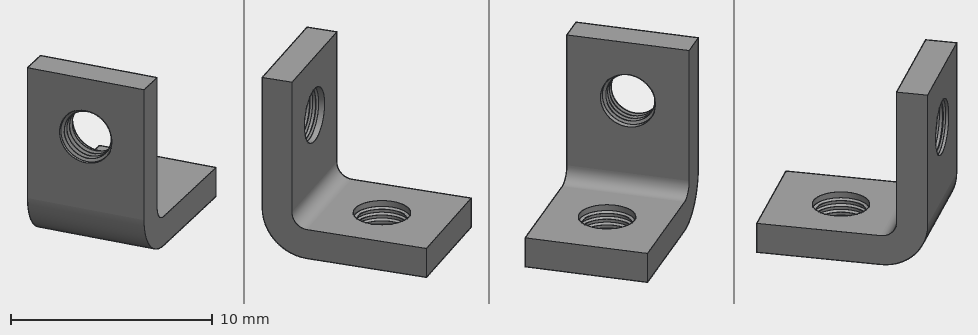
import cadquery as cq

width = 6.35
thickness = 1.5875
inner_bend_radius = thickness / 2
outer_bend_radius = inner_bend_radius + thickness
leg_height = 9.525
foot_length = 8.71

major_radius = 2.85 / 2
minor_radius = 2.54 / 2
ridge_count = 4
pitch = thickness / (ridge_count + 1)
ridge_base = pitch / 2
upright_hole_height = 6.35
foot_hole_distance = 5.16


def bent_plate():
    """L-shaped sheet: the foot runs along +Y, the upright leg along +Z."""
    profile = (
        cq.Workplane("YZ")
        .moveTo(foot_length, 0)
        .lineTo(foot_length, thickness)
        .lineTo(outer_bend_radius, thickness)
        .radiusArc((thickness, outer_bend_radius), inner_bend_radius)
        .lineTo(thickness, leg_height)
        .lineTo(0, leg_height)
        .lineTo(0, outer_bend_radius)
        .radiusArc((outer_bend_radius, 0), -outer_bend_radius)
        .close()
    )
    return profile.extrude(width / 2, both=True)


def thread_cutter():
    """Body of revolution about Z, one plate thick, with V-shaped ridges after a plain first pitch."""
    outline = cq.Workplane("XZ").lineTo(major_radius, 0)
    for ridge in range(ridge_count):
        start = (ridge + 1) * pitch
        outline = outline.lineTo(major_radius, start)
        outline = outline.lineTo(minor_radius, start + ridge_base / 2)
        outline = outline.lineTo(major_radius, start + ridge_base)
    outline = outline.lineTo(major_radius, thickness).lineTo(0, thickness).close()
    return outline.revolve(360, (0, 0, 0), (0, 1, 0))


foot_thread = (
    thread_cutter()
    .rotate((0, 0, 0), (1, 0, 0), 180)
    .translate((0, foot_hole_distance, thickness))
)
upright_thread = (
    thread_cutter()
    .rotate((0, 0, 0), (1, 0, 0), 90)
    .translate((0, thickness, upright_hole_height))
)

result = bent_plate().cut(foot_thread).cut(upright_thread)